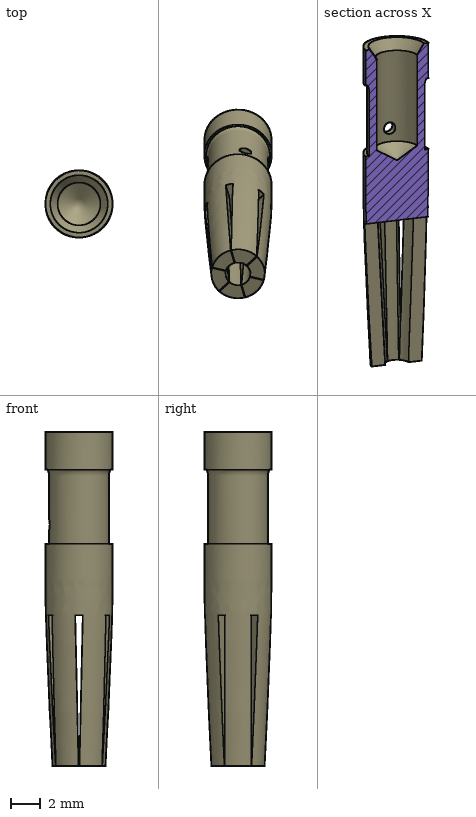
import cadquery as cq
import math

length = 22.3
outer_radius = 2.25

collar_bottom_z = 19.78
flare_bottom_z = 19.4
flare_radius = 2.12
neck_radius = 2.0
shoulder_z = 14.83

taper_start_z = 12.45
mid_bend_z = 8.36
mid_bend_radius = 2.16
low_bend_z = 3.6
low_bend_radius = 1.96
tip_radius = 1.78

mouth_radius = 1.92
bore_radius = 1.43
countersink_depth = 0.75
bore_floor_z = 15.16
drill_point_angle = 118.0

inspection_radius = 0.4
inspection_z = 16.1

finger_thickness = 0.95

slot_count = 6
slot_top_z = 10.05
slot_top_width = 0.5
slot_tip_width = 0.05


def revolve_profile(profile):
    return profile.close().revolve(360, (0, 0, 0), (0, 1, 0))


def make_body():
    curve_height = taper_start_z - mid_bend_z
    curve_inset = outer_radius - mid_bend_radius
    curve_radius = (curve_height**2 + curve_inset**2) / (2 * curve_inset)
    half_angle = math.asin(curve_height / curve_radius) / 2
    taper_curve_middle = (
        outer_radius - curve_radius * (1 - math.cos(half_angle)),
        taper_start_z - curve_radius * math.sin(half_angle),
    )
    return revolve_profile(
        cq.Workplane("XZ")
        .lineTo(tip_radius, 0)
        .lineTo(low_bend_radius, low_bend_z)
        .lineTo(mid_bend_radius, mid_bend_z)
        .threePointArc(taper_curve_middle, (outer_radius, taper_start_z))
        .lineTo(outer_radius, shoulder_z)
        .lineTo(neck_radius, shoulder_z)
        .lineTo(neck_radius, flare_bottom_z)
        .tangentArcPoint((flare_radius, collar_bottom_z), relative=False)
        .lineTo(outer_radius, collar_bottom_z)
        .lineTo(outer_radius, length)
        .lineTo(0, length)
    )


def make_wire_bore():
    point_depth = bore_radius / math.tan(math.radians(drill_point_angle / 2))
    return revolve_profile(
        cq.Workplane("XZ")
        .moveTo(0, bore_floor_z - point_depth)
        .lineTo(bore_radius, bore_floor_z)
        .lineTo(bore_radius, length - countersink_depth)
        .lineTo(mouth_radius, length)
        .lineTo(0, length)
    )


def make_inspection_hole():
    return (
        cq.Workplane("YZ")
        .center(0, inspection_z)
        .circle(inspection_radius)
        .extrude(-outer_radius)
    )


def make_socket():
    return revolve_profile(
        cq.Workplane("XZ")
        .lineTo(tip_radius - finger_thickness, 0)
        .lineTo(outer_radius - finger_thickness, slot_top_z)
        .lineTo(0, slot_top_z)
    )


def make_slot():
    """Wedge-shaped cut from the axis out through the -Y side."""
    return (
        cq.Workplane("XZ")
        .moveTo(-slot_tip_width / 2, 0)
        .lineTo(slot_tip_width / 2, 0)
        .lineTo(slot_top_width / 2, slot_top_z)
        .lineTo(-slot_top_width / 2, slot_top_z)
        .close()
        .extrude(outer_radius)
    )


result = make_body().cut(make_wire_bore()).cut(make_inspection_hole()).cut(make_socket())
for index in range(slot_count):
    slot_angle = index * 360 / slot_count
    result = result.cut(make_slot().rotate((0, 0, 0), (0, 0, 1), slot_angle))